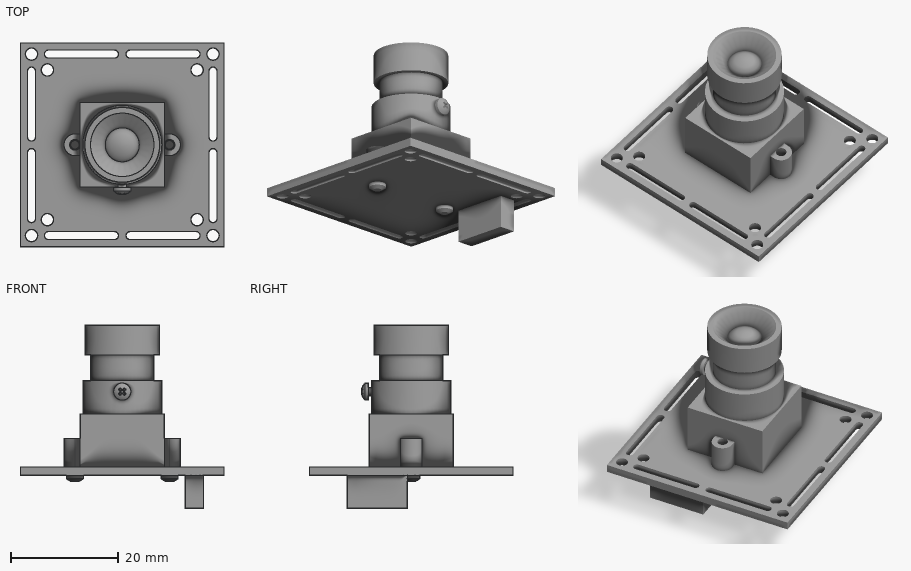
import cadquery as cq
import math

BOARD_SIDE = 38.1
BOARD_THICKNESS = 1.6
BOARD_HOLE_DIAMETER = 2.25
CORNER_HOLE_OFFSET = 16.95
INNER_HOLE_OFFSET = 14.0
SLOT_WIDTH = 1.45
SLOT_LENGTH = 13.8
SLOT_GAP = 1.45
SLOT_OFFSET = (SLOT_LENGTH + SLOT_GAP) / 2

CONNECTOR_SIZE_X = 3.45
CONNECTOR_SIZE_Y = 11.25
CONNECTOR_HEIGHT = 6.17
CONNECTOR_CENTER_X = 13.5
CONNECTOR_CENTER_Y = -6.35

BASE_SIDE = 15.75
BASE_HEIGHT = 9.9
LUG_WIDTH = 4.08
LUG_HEIGHT = 5.35
LUG_OFFSET = 8.85
LUG_BORE_DIAMETER = 2.0
LUG_BORE_DEPTH = LUG_HEIGHT / 2

COLLAR_DIAMETER = 14.8
COLLAR_HEIGHT = 6.2
NECK_DIAMETER = 11.85
NECK_HEIGHT = 4.8
CAP_DIAMETER = 13.95
CAP_HEIGHT = 5.55
COLLAR_TOP = BASE_HEIGHT + COLLAR_HEIGHT
CAP_TOP = COLLAR_TOP + NECK_HEIGHT + CAP_HEIGHT

MOUTH_DIAMETER = NECK_DIAMETER
MOUTH_DEPTH = 2.35
LENS_DIAMETER = 6.35
LENS_RISE = 1.25

SHANK_DIAMETER = 1.6
HEAD_DIAMETER = 3.2
HEAD_RIM_HEIGHT = 0.6
MOUNT_CROWN_RISE = 0.5
MOUNT_CROWN_FLAT_DIAMETER = 1.6
SET_CROWN_RISE = 0.72
SET_HEAD_SEAT = 8.0
SET_SCREW_DROP = 2.05
CROSS_LENGTH = 1.65
CROSS_ARM_WIDTH = 0.55
CROSS_DEPTH = 0.57
CROSS_WALL_TAPER = 15.0

MOUNT_SHANK_LENGTH = BOARD_THICKNESS + LUG_HEIGHT - LUG_BORE_DEPTH
SET_SHANK_LENGTH = SET_HEAD_SEAT - NECK_DIAMETER / 2
SET_SCREW_PLANE = cq.Plane(
    origin=(0, -SET_HEAD_SEAT, COLLAR_TOP - SET_SCREW_DROP), xDir=(1, 0, 0), normal=(0, -1, 0)
)
MOUNT_SCREW_PLANES = [
    cq.Plane(origin=(side * LUG_OFFSET, 0, -BOARD_THICKNESS), xDir=(1, 0, 0), normal=(0, 0, -1))
    for side in (-1, 1)
]


def make_board():
    """Board with corner holes, inner holes and a pair of slots along each edge."""
    holes = [
        (x_side * offset, y_side * offset)
        for offset in (CORNER_HOLE_OFFSET, INNER_HOLE_OFFSET)
        for x_side in (-1, 1)
        for y_side in (-1, 1)
    ]
    board = (
        cq.Workplane("XY")
        .rect(BOARD_SIDE, BOARD_SIDE)
        .pushPoints(holes)
        .circle(BOARD_HOLE_DIAMETER / 2)
        .extrude(-BOARD_THICKNESS)
    )
    edge_slots = (
        cq.Workplane("XY")
        .pushPoints([(side * SLOT_OFFSET, CORNER_HOLE_OFFSET) for side in (-1, 1)])
        .slot2D(SLOT_LENGTH, SLOT_WIDTH)
        .extrude(-BOARD_THICKNESS)
    )
    for angle in (0, 90, 180, 270):
        board = board.cut(edge_slots.rotate((0, 0, 0), (0, 0, 1), angle))
    return board


def make_connector():
    """Plain block hanging from the underside of the board."""
    return (
        cq.Workplane("XY", origin=(CONNECTOR_CENTER_X, CONNECTOR_CENTER_Y, -BOARD_THICKNESS))
        .rect(CONNECTOR_SIZE_X, CONNECTOR_SIZE_Y)
        .extrude(-CONNECTOR_HEIGHT)
    )


def make_holder():
    """Square base with a round-ended, blind-bored lug on the -X and +X sides."""
    lugs = (
        cq.Workplane("XY")
        .slot2D(2 * LUG_OFFSET + LUG_WIDTH, LUG_WIDTH)
        .extrude(LUG_HEIGHT)
    )
    bores = (
        cq.Workplane("XY", origin=(0, 0, LUG_HEIGHT))
        .pushPoints([(-LUG_OFFSET, 0), (LUG_OFFSET, 0)])
        .circle(LUG_BORE_DIAMETER / 2)
        .extrude(-LUG_BORE_DEPTH)
    )
    base = cq.Workplane("XY").rect(BASE_SIDE, BASE_SIDE).extrude(BASE_HEIGHT)
    return lugs.cut(bores).union(base)


def make_barrel():
    """Collar, neck and cap turned in one profile, with the conical mouth and the lens dome."""
    mouth_bottom = CAP_TOP - MOUTH_DEPTH
    lens_radius = LENS_DIAMETER / 2
    dome_radius = (lens_radius**2 + LENS_RISE**2) / (2 * LENS_RISE)
    half_angle = math.asin(lens_radius / dome_radius) / 2
    dome_center = mouth_bottom + LENS_RISE - dome_radius
    dome_middle = (
        dome_radius * math.sin(half_angle),
        dome_center + dome_radius * math.cos(half_angle),
    )
    cap_bottom = CAP_TOP - CAP_HEIGHT
    return (
        cq.Workplane("XZ")
        .moveTo(0, BASE_HEIGHT)
        .lineTo(COLLAR_DIAMETER / 2, BASE_HEIGHT)
        .lineTo(COLLAR_DIAMETER / 2, COLLAR_TOP)
        .lineTo(NECK_DIAMETER / 2, COLLAR_TOP)
        .lineTo(NECK_DIAMETER / 2, cap_bottom)
        .lineTo(CAP_DIAMETER / 2, cap_bottom)
        .lineTo(CAP_DIAMETER / 2, CAP_TOP)
        .lineTo(MOUTH_DIAMETER / 2, CAP_TOP)
        .lineTo(lens_radius, mouth_bottom)
        .threePointArc(dome_middle, (0, mouth_bottom + LENS_RISE))
        .close()
        .revolve(360, (0, 0, 0), (0, 1, 0))
    )


def make_shank(plane, length):
    """Screw shank running from the head seat back into the camera."""
    return cq.Workplane(plane).circle(SHANK_DIAMETER / 2).extrude(-length)


def make_head_rim(plane):
    """Cylindrical part of a screw head, standing on its seat."""
    return cq.Workplane(plane).circle(HEAD_DIAMETER / 2).extrude(HEAD_RIM_HEIGHT)


def make_mount_screw(plane):
    """Screw through the board into a lug; the head tapers to a flat end."""
    crown = (
        cq.Workplane(plane)
        .workplane(offset=HEAD_RIM_HEIGHT)
        .circle(HEAD_DIAMETER / 2)
        .workplane(offset=MOUNT_CROWN_RISE)
        .circle(MOUNT_CROWN_FLAT_DIAMETER / 2)
        .loft(ruled=True)
    )
    return make_shank(plane, MOUNT_SHANK_LENGTH).union(make_head_rim(plane)).union(crown)


def make_set_screw(plane):
    """Screw in the side of the collar, with a domed head and a tapered, diagonal cross recess."""
    head_radius = HEAD_DIAMETER / 2
    dome_radius = (head_radius**2 + SET_CROWN_RISE**2) / (2 * SET_CROWN_RISE)
    head_top = HEAD_RIM_HEIGHT + SET_CROWN_RISE
    dome = cq.Workplane(plane).sphere(dome_radius).translate(
        plane.zDir * (head_top - dome_radius)
    )
    head = cq.Workplane(plane).circle(head_radius).extrude(head_top).intersect(dome)
    cross = (
        cq.Sketch()
        .rect(CROSS_LENGTH, CROSS_ARM_WIDTH, angle=45)
        .rect(CROSS_LENGTH, CROSS_ARM_WIDTH, angle=135)
        .clean()
    )
    recess = (
        cq.Workplane(plane)
        .workplane(offset=head_top)
        .placeSketch(cross)
        .extrude(-CROSS_DEPTH, taper=CROSS_WALL_TAPER)
    )
    return make_shank(plane, SET_SHANK_LENGTH).union(head).cut(recess)


def make_camera():
    """Board, connector, holder and barrel in one piece, with a matching hole for every screw."""
    camera = make_board().union(make_connector()).union(make_holder()).union(make_barrel())
    for plane in MOUNT_SCREW_PLANES:
        camera = camera.cut(make_shank(plane, MOUNT_SHANK_LENGTH))
    return camera.cut(make_shank(SET_SCREW_PLANE, SET_SHANK_LENGTH))


camera = make_camera()
mount_screws = [make_mount_screw(plane) for plane in MOUNT_SCREW_PLANES]
set_screw = make_set_screw(SET_SCREW_PLANE)

result = cq.Compound.makeCompound(
    [camera.val(), *[screw.val() for screw in mount_screws], set_screw.val()]
)